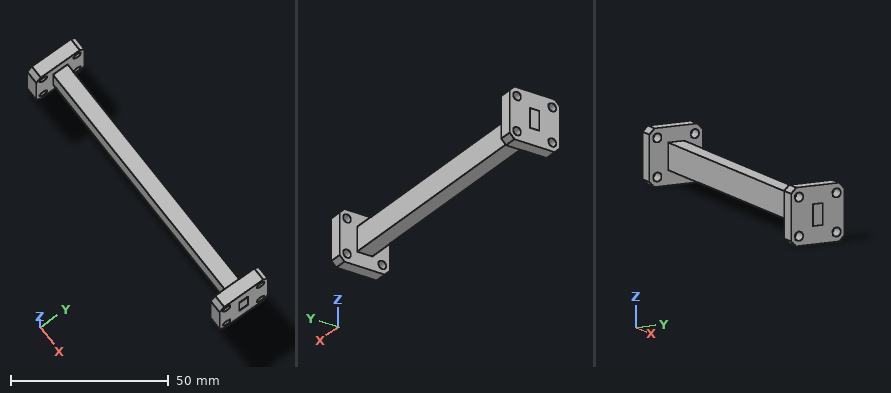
import cadquery as cq

total_length = 101.6
flange_size = 19.1
flange_thickness = 4.8
corner_chamfer = 1.8
bar_width = 5.8
bar_height = 8.9
hole_diameter = 2.9
hole_spacing_y = 13.4
hole_spacing_z = 12.7
window_width = 3.5
window_height = 7.1
window_depth = 0.1


def flange(start_x):
    """Flange with chamfered corners and four bolt holes, extending in +X from start_x."""
    plate = (
        cq.Workplane("YZ", origin=(start_x, 0, 0))
        .rect(flange_size, flange_size)
        .extrude(flange_thickness)
        .edges("|X")
        .chamfer(corner_chamfer)
    )
    return (
        plate.faces(">X")
        .workplane(origin=(start_x, 0, 0))
        .rect(hole_spacing_y, hole_spacing_z, forConstruction=True)
        .vertices()
        .hole(hole_diameter)
    )


bar = cq.Workplane("XY").box(total_length - 2 * flange_thickness, bar_width, bar_height)

result = bar
for flange_start in (-total_length / 2, total_length / 2 - flange_thickness):
    result = result.union(flange(flange_start))

for end_face in ("<X", ">X"):
    result = (
        result.faces(end_face)
        .workplane(centerOption="CenterOfBoundBox")
        .rect(window_width, window_height)
        .cutBlind(-window_depth)
    )